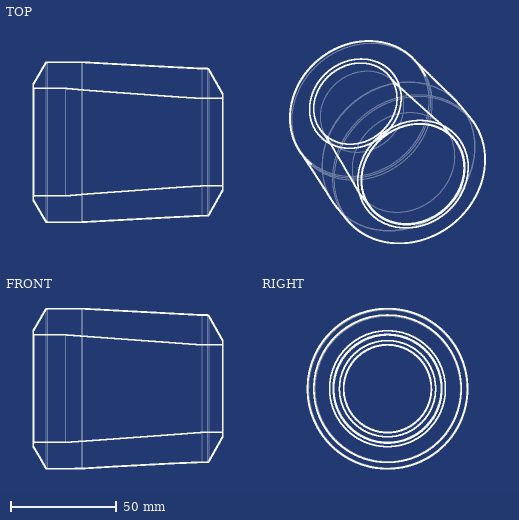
import cadquery as cq
import math

length = 90.0
large_diameter = 76.1
small_diameter = 70.0

large_face_diameter = 55.1
small_face_diameter = 45.7
large_bevel_length = 6.1
small_bevel_length = 6.8
edge_radius = 1.0
shoulder_blend_radius = 9.0

large_cylinder_end = 22.95
small_cylinder_start = 80.0

large_bore_diameter = 51.1
bore_mouth_chamfer = 0.3
small_bore_diameter = 41.6
large_bore_depth = 15.2
small_bore_start = small_cylinder_start


def make_body():
    """Revolve the outer profile, with a tangent arc from the large cylinder into the cone."""
    large_radius = large_diameter / 2
    small_radius = small_diameter / 2
    taper = math.atan2(large_radius - small_radius, small_cylinder_start - large_cylinder_end)
    tangent_length = shoulder_blend_radius * math.tan(taper / 2)
    blend_start = (large_cylinder_end - tangent_length, large_radius)
    blend_end = (
        large_cylinder_end + tangent_length * math.cos(taper),
        large_radius - tangent_length * math.sin(taper),
    )
    body = (
        cq.Workplane("XZ")
        .lineTo(0, large_face_diameter / 2)
        .lineTo(large_bevel_length, large_radius)
        .lineTo(*blend_start)
        .tangentArcPoint(blend_end, relative=False)
        .lineTo(small_cylinder_start, small_radius)
        .lineTo(length - small_bevel_length, small_radius)
        .lineTo(length, small_face_diameter / 2)
        .lineTo(length, 0)
        .close()
        .revolve(360, (0, 0, 0), (1, 0, 0))
    )
    return round_outer_edges(body)


def round_outer_edges(body):
    """Round each bevel edge where it meets its cylinder."""
    reach = large_diameter
    tolerance = 0.1
    roundings = [
        (large_bevel_length, edge_radius),
        (length - small_bevel_length, edge_radius),
    ]
    for position, radius in roundings:
        selector = cq.selectors.BoxSelector(
            (position - tolerance, -reach, -reach),
            (position + tolerance, reach, reach),
        )
        body = body.edges(selector).edges("%CIRCLE").fillet(radius)
    return body


def make_bore():
    """Revolve the through bore, with its chamfered mouth and internal taper."""
    profile = [
        (0, 0),
        (0, large_bore_diameter / 2 + bore_mouth_chamfer),
        (bore_mouth_chamfer, large_bore_diameter / 2),
        (large_bore_depth, large_bore_diameter / 2),
        (small_bore_start, small_bore_diameter / 2),
        (length, small_bore_diameter / 2),
        (length, 0),
    ]
    return cq.Workplane("XZ").polyline(profile).close().revolve(360, (0, 0, 0), (1, 0, 0))


result = make_body().cut(make_bore()).translate((-length / 2, 0, 0))